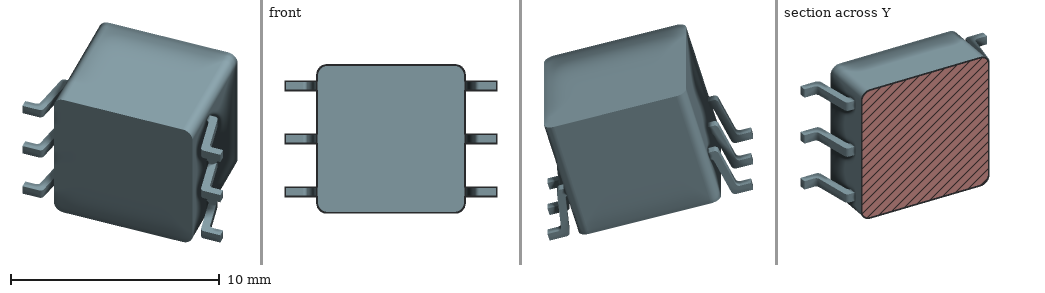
import cadquery as cq
import math

body_side = 7.1
overall_depth = 6.34
body_corner_radius = 0.5
standoff = 0.25
body_depth = overall_depth - standoff

lead_span = 10.15
lead_height = 2.54
lead_thickness = 0.38
lead_width = 0.46
lead_pitch = 2.54
leads_per_side = 3
foot_length = 1.015
leg_lean = math.radians(10)
bend_radius = 0.2
shoulder_embed = 0.5

tip_x = lead_span / 2
heel_x = tip_x - foot_length
shoulder_end_x = body_side / 2 - shoulder_embed
leg_width_x = lead_thickness / math.cos(leg_lean)


def make_body():
    blank = cq.Workplane("XY").box(body_side, body_depth, body_side)
    rounded = blank.edges("|Y").fillet(body_corner_radius)
    return rounded.translate((0, standoff + body_depth / 2, 0))


def inner_leg_x(y):
    """X of the leg face nearest the body, at height y above the mounting plane."""
    return heel_x - y * math.tan(leg_lean)


def outer_leg_x(y):
    return inner_leg_x(y) + leg_width_x


def make_lead():
    """One lead on the +X side, centred on Z = 0."""
    shoulder_bottom = lead_height - lead_thickness
    bends = [
        (heel_x, 0),
        (outer_leg_x(lead_thickness), lead_thickness),
        (inner_leg_x(shoulder_bottom), shoulder_bottom),
        (outer_leg_x(lead_height), lead_height),
    ]
    heel, instep, armpit, shoulder = bends
    outline = [
        (tip_x, 0),
        (tip_x, lead_thickness),
        instep,
        shoulder,
        (shoulder_end_x, lead_height),
        (shoulder_end_x, shoulder_bottom),
        armpit,
        heel,
    ]
    lead = cq.Workplane("XY").polyline(outline).close().extrude(lead_width / 2, both=True)
    for x, y in bends:
        edge_at_bend = cq.selectors.NearestToPointSelector((x, y, 0))
        lead = lead.edges("|Z").edges(edge_at_bend).fillet(bend_radius)
    return lead


result = make_body()
right_lead = make_lead()
left_lead = right_lead.mirror("YZ")
for index in range(leads_per_side):
    lead_z = (index - (leads_per_side - 1) / 2) * lead_pitch
    for lead in (left_lead, right_lead):
        result = result.union(lead.translate((0, 0, lead_z)))